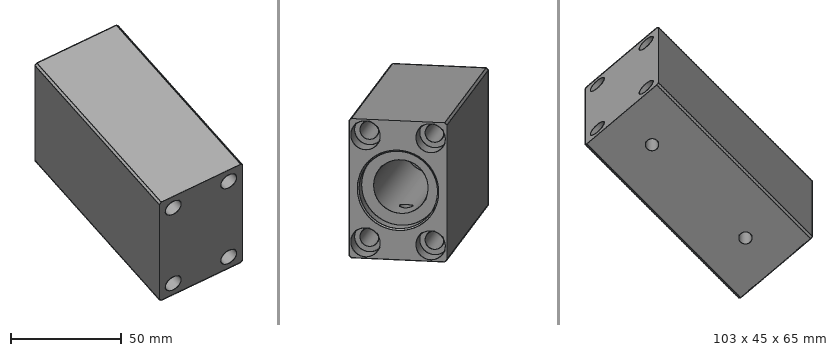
import cadquery as cq

LENGTH = 103.0
WIDTH = 45.0
HEIGHT = 65.0
EDGE_CHAMFER = 1.0

BOLT_SPACING_Y = 30.0
BOLT_SPACING_Z = 50.0
BOLT_DIAMETER = 8.5
COUNTERBORE_DIAMETER = 13.5
COUNTERBORE_DEPTH = 9.6

RECESS_DIAMETER = 36.0
RECESS_DEPTH = 7.0
RECESS_CHAMFER = 0.7
BORE_DIAMETER = 25.0

PORT_DIAMETER = 6.0
PORT_INSET = 20.3
PORT_RISE = 1.4

BORE_DEPTH = LENGTH - PORT_INSET


def make_block():
    """Rectangular block with its four long edges chamfered."""
    block = cq.Workplane("YZ").rect(WIDTH, HEIGHT).extrude(LENGTH)
    return block.edges("|X").chamfer(EDGE_CHAMFER)


def bolt_cylinders(diameter, depth):
    """Four cylinders from the left face, one at each bolt position."""
    return (
        cq.Workplane("YZ")
        .rarray(BOLT_SPACING_Y, BOLT_SPACING_Z, 2, 2)
        .circle(diameter / 2)
        .extrude(depth)
    )


def make_stepped_bore():
    """Bore, wider recess and chamfered mouth, turned around the X axis."""
    bore_radius = BORE_DIAMETER / 2
    recess_radius = RECESS_DIAMETER / 2
    half_profile = [
        (0, 0),
        (0, recess_radius + RECESS_CHAMFER),
        (RECESS_CHAMFER, recess_radius),
        (RECESS_DEPTH, recess_radius),
        (RECESS_DEPTH, bore_radius),
        (BORE_DEPTH, bore_radius),
        (BORE_DEPTH, 0),
    ]
    return cq.Workplane("XY").polyline(half_profile).close().revolve(360, (0, 0, 0), (1, 0, 0))


def make_ports():
    """Vertical cylinders from the bottom face to just inside the bore."""
    bottom_z = -HEIGHT / 2
    top_z = -BORE_DIAMETER / 2 + PORT_RISE
    return (
        cq.Workplane("XY", origin=(0, 0, bottom_z))
        .pushPoints([(PORT_INSET, 0), (LENGTH - PORT_INSET, 0)])
        .circle(PORT_DIAMETER / 2)
        .extrude(top_z - bottom_z)
    )


result = (
    make_block()
    .cut(bolt_cylinders(BOLT_DIAMETER, LENGTH))
    .cut(bolt_cylinders(COUNTERBORE_DIAMETER, COUNTERBORE_DEPTH))
    .cut(make_stepped_bore())
    .cut(make_ports())
)